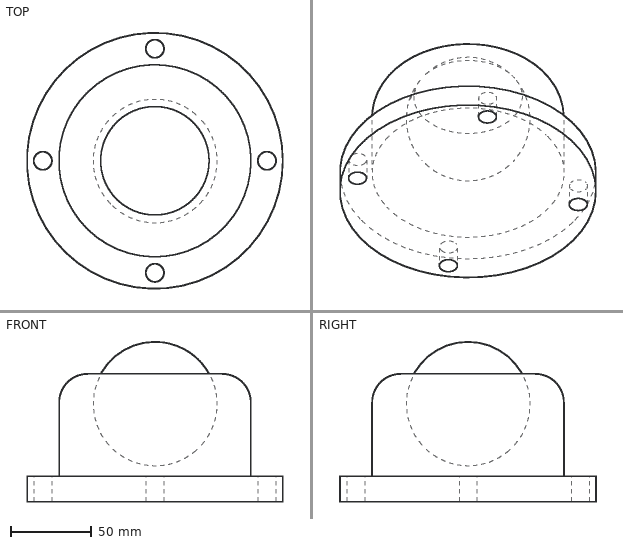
import cadquery as cq

flange_diameter = 160.0
flange_thickness = 16.0
hole_diameter = 11.2
hole_circle_diameter = 140.0
hole_count = 4

housing_diameter = 120.0
housing_height = 80.0
top_flat_diameter = 84.0
shoulder_radius = (housing_diameter - top_flat_diameter) / 2

ball_diameter = 77.5
overall_height = 100.0
ball_center_height = overall_height - ball_diameter / 2


def make_ball():
    """Full sphere whose crown sets the overall height."""
    return cq.Workplane("XY").sphere(ball_diameter / 2).translate((0, 0, ball_center_height))


def make_housing(ball):
    """Round flange and rounded drum with a spherical seat that matches the ball."""
    flange = cq.Workplane("XY").circle(flange_diameter / 2).extrude(flange_thickness)
    drum = (
        cq.Workplane("XY")
        .circle(housing_diameter / 2)
        .extrude(housing_height)
        .faces(">Z")
        .edges()
        .fillet(shoulder_radius)
    )
    mounting_holes = (
        cq.Workplane("XY")
        .polarArray(hole_circle_diameter / 2, 0, 360, hole_count)
        .circle(hole_diameter / 2)
        .extrude(flange_thickness)
    )
    return flange.union(drum).cut(mounting_holes).cut(ball)


ball = make_ball()
housing = make_housing(ball)

result = cq.Compound.makeCompound([housing.solids().val(), ball.val()])